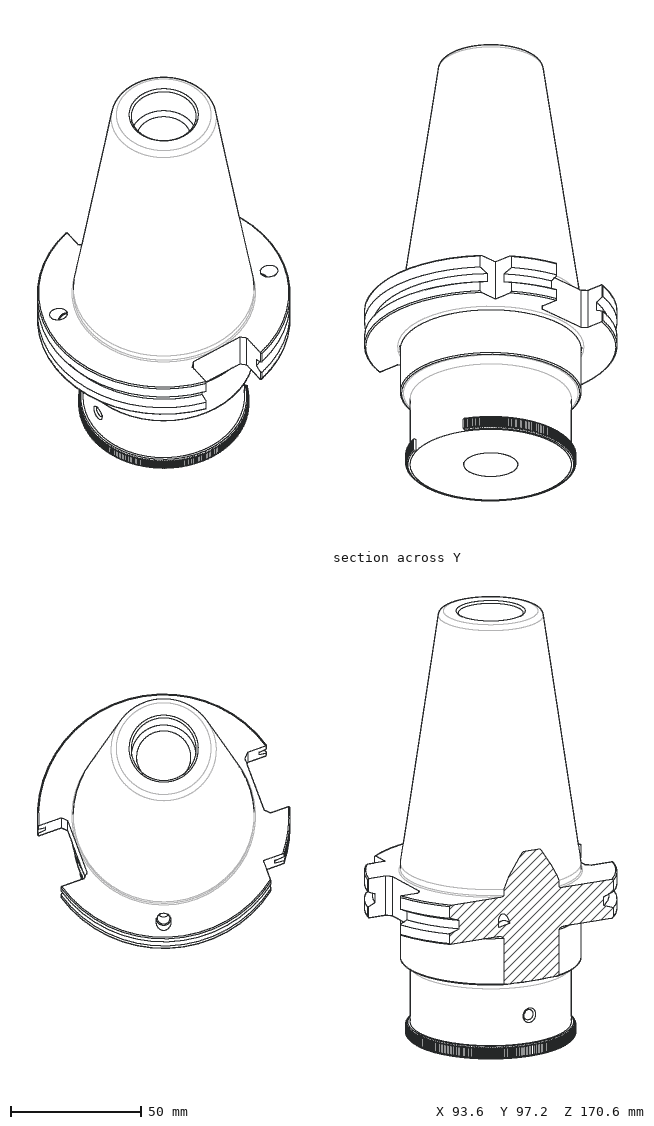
import cadquery as cq
import math

TOTAL_HEIGHT = 170.6

GAUGE_RADIUS = 34.8
GAUGE_Z = 69.1
TAPER_RATIO = 7 / 24
TAPER_TIP_FILLET = 2.0

FLANGE_RADIUS = 48.6
FLANGE_BOTTOM_Z = 50.3
FLANGE_TOP_Z = 66.2
FLANGE_EDGE_CHAMFER = 0.5
FLANGE_TOP_FILLET = 0.5
FLANGE_BOTTOM_FILLET = 1.0
GROOVE_ROOT_RADIUS = 45.5
GROOVE_ROOT_WIDTH = 3.4
GROOVE_MOUTH_WIDTH = 6.3
GROOVE_Z = 57.8

SLOT_WIDTH = 25.6
SLOT_FLOOR_LEFT = 37.2
SLOT_FLOOR_RIGHT = 35.3
SLOT_CORNER_CHAMFER = 1.9
SLOT_MOUTH_CHAMFER = 0.3
NOTCH_X = -30.0
NOTCH_Y = 29.7

BODY_RADIUS = GAUGE_RADIUS
BODY_BOTTOM_Z = 30.5
BODY_EDGE_CHAMFER = 0.5
NOSE_RADIUS = 31.0
NOSE_FILLET = 2.5

BORE_RADIUS = 10.4
TOP_BORE_RADIUS = 12.5
TOP_BORE_DEPTH = 12.0
TOP_BORE_FLOOR_ANGLE = 30.0
TOP_BORE_CHAMFER = 0.9

COOLANT_PITCH_RADIUS = 42.0
COOLANT_ANGLE = 70.0
COOLANT_TILT = 32.0
COOLANT_MOUTH_RADIUS = 2.9
COOLANT_MOUTH_DEPTH = 4.6
COOLANT_RADIUS = 2.4
COOLANT_DEPTH = 13.6

SCREW_Z = 16.2
SCREW_RADIUS = 2.0
SCREW_DEPTH = 6.8
SCREW_MOUTH_RADIUS = 2.9

RING_HEIGHT = 5.1
RING_RADIUS = 32.8
RING_CHAMFER = 0.9
KNURL_COUNT = 300
KNURL_DEPTH = 0.5
RING_GAP_WIDTH = 26.5


def holder_blank():
    """Turned outer shape of the holder, without its bores and cuts."""
    tip_radius = GAUGE_RADIUS - (TOTAL_HEIGHT - GAUGE_Z) * TAPER_RATIO / 2
    root_half = GROOVE_ROOT_WIDTH / 2
    mouth_half = GROOVE_MOUTH_WIDTH / 2
    shoulder_radius = NOSE_RADIUS + NOSE_FILLET
    edge = FLANGE_EDGE_CHAMFER
    bevel = BODY_EDGE_CHAMFER
    low = FLANGE_BOTTOM_FILLET
    high = FLANGE_TOP_FILLET
    arc_middle = 1 - math.sqrt(0.5)
    profile = (
        cq.Workplane("XZ")
        .lineTo(NOSE_RADIUS, 0)
        .lineTo(NOSE_RADIUS, BODY_BOTTOM_Z - NOSE_FILLET)
        .threePointArc(
            (NOSE_RADIUS + NOSE_FILLET * arc_middle, BODY_BOTTOM_Z - NOSE_FILLET * arc_middle),
            (shoulder_radius, BODY_BOTTOM_Z),
        )
        .lineTo(BODY_RADIUS - bevel, BODY_BOTTOM_Z)
        .lineTo(BODY_RADIUS, BODY_BOTTOM_Z + bevel)
        .lineTo(BODY_RADIUS, FLANGE_BOTTOM_Z - low)
        .threePointArc(
            (BODY_RADIUS + low * arc_middle, FLANGE_BOTTOM_Z - low * arc_middle),
            (BODY_RADIUS + low, FLANGE_BOTTOM_Z),
        )
        .lineTo(FLANGE_RADIUS - edge, FLANGE_BOTTOM_Z)
        .lineTo(FLANGE_RADIUS, FLANGE_BOTTOM_Z + edge)
        .lineTo(FLANGE_RADIUS, GROOVE_Z - mouth_half)
        .lineTo(GROOVE_ROOT_RADIUS, GROOVE_Z - root_half)
        .lineTo(GROOVE_ROOT_RADIUS, GROOVE_Z + root_half)
        .lineTo(FLANGE_RADIUS, GROOVE_Z + mouth_half)
        .lineTo(FLANGE_RADIUS, FLANGE_TOP_Z - edge)
        .lineTo(FLANGE_RADIUS - edge, FLANGE_TOP_Z)
        .lineTo(GAUGE_RADIUS + high, FLANGE_TOP_Z)
        .threePointArc(
            (GAUGE_RADIUS + high * arc_middle, FLANGE_TOP_Z + high * arc_middle),
            (GAUGE_RADIUS, FLANGE_TOP_Z + high),
        )
        .lineTo(GAUGE_RADIUS, GAUGE_Z)
        .lineTo(tip_radius, TOTAL_HEIGHT)
        .lineTo(0, TOTAL_HEIGHT)
        .close()
    )
    blank = profile.revolve(360, (0, 0, 0), (0, 1, 0))
    return blank.faces(">Z").edges().fillet(TAPER_TIP_FILLET)


def central_bore():
    """Through bore with a wider, chamfered bore at the taper tip."""
    wall_bottom_z = TOTAL_HEIGHT - TOP_BORE_DEPTH
    floor_drop = (TOP_BORE_RADIUS - BORE_RADIUS) * math.tan(math.radians(TOP_BORE_FLOOR_ANGLE))
    mouth_radius = TOP_BORE_RADIUS + TOP_BORE_CHAMFER
    profile = (
        cq.Workplane("XZ")
        .lineTo(BORE_RADIUS, 0)
        .lineTo(BORE_RADIUS, wall_bottom_z - floor_drop)
        .lineTo(TOP_BORE_RADIUS, wall_bottom_z)
        .lineTo(TOP_BORE_RADIUS, TOTAL_HEIGHT - TOP_BORE_CHAMFER)
        .lineTo(mouth_radius, TOTAL_HEIGHT)
        .lineTo(0, TOTAL_HEIGHT)
        .close()
    )
    return profile.revolve(360, (0, 0, 0), (0, 1, 0))


def through_flange(outline):
    """Prism of a closed XY outline over the full height of the flange."""
    prism = cq.Workplane("XY").polyline(outline).close().extrude(FLANGE_TOP_Z - FLANGE_BOTTOM_Z)
    return prism.translate((0, 0, FLANGE_BOTTOM_Z))


def drive_slot(side, floor):
    """Slot open outward on one X side (+1 or -1), with chamfered inner corners and mouth."""
    half = SLOT_WIDTH / 2
    mouth_half = half + SLOT_MOUTH_CHAMFER
    mouth = math.sqrt(FLANGE_RADIUS**2 - mouth_half**2)
    upper_edge = [
        (side * floor, half - SLOT_CORNER_CHAMFER),
        (side * (floor + SLOT_CORNER_CHAMFER), half),
        (side * (mouth - SLOT_MOUTH_CHAMFER), half),
        (side * mouth, mouth_half),
        (side * FLANGE_RADIUS, mouth_half),
    ]
    lower_edge = [(x, -y) for x, y in reversed(upper_edge)]
    return through_flange(upper_edge + lower_edge)


def orientation_notch():
    """Square corner notch at -X, +Y through the flange."""
    outline = [
        (NOTCH_X, NOTCH_Y),
        (NOTCH_X, FLANGE_RADIUS),
        (-FLANGE_RADIUS, FLANGE_RADIUS),
        (-FLANGE_RADIUS, NOTCH_Y),
    ]
    return through_flange(outline)


def coolant_hole(angle):
    """Stepped blind hole leaning inward from the flange top."""
    direction = math.radians(angle)
    tilt = math.radians(COOLANT_TILT)
    outward = cq.Vector(math.cos(direction), math.sin(direction), 0)
    mouth = outward * COOLANT_PITCH_RADIUS + cq.Vector(0, 0, FLANGE_TOP_Z)
    axis = outward * -math.sin(tilt) + cq.Vector(0, 0, -math.cos(tilt))
    lead = 2 * COOLANT_MOUTH_RADIUS
    start = mouth - axis * lead
    wide = cq.Solid.makeCylinder(COOLANT_MOUTH_RADIUS, COOLANT_MOUTH_DEPTH + lead, start, axis)
    narrow = cq.Solid.makeCylinder(COOLANT_RADIUS, COOLANT_DEPTH, mouth, axis)
    return cq.Workplane(wide).union(cq.Workplane(narrow))


def screw_hole():
    """Blind radial hole on the -Y side of the nose with a conical mouth."""
    chamfer = SCREW_MOUTH_RADIUS - SCREW_RADIUS
    mouth_point = cq.Vector(0, -NOSE_RADIUS, SCREW_Z)
    inward = cq.Vector(0, 1, 0)
    drill = cq.Solid.makeCylinder(SCREW_RADIUS, SCREW_DEPTH, mouth_point, inward)
    cone = cq.Solid.makeCone(SCREW_MOUTH_RADIUS, SCREW_RADIUS, chamfer, mouth_point, inward)
    return cq.Workplane(drill).union(cq.Workplane(cone))


def make_holder():
    """Tool holder: taper, flange, body and nose in one solid."""
    holder = holder_blank().cut(central_bore())
    holder = holder.cut(drive_slot(-1, SLOT_FLOOR_LEFT))
    holder = holder.cut(drive_slot(1, SLOT_FLOOR_RIGHT))
    holder = holder.cut(orientation_notch())
    for angle in (COOLANT_ANGLE, COOLANT_ANGLE + 180):
        holder = holder.cut(coolant_hole(angle))
    return holder.cut(screw_hole())


def make_knurled_ring():
    """Split ring around the end of the nose, with a straight knurl and a gap at +Y."""
    points = []
    for i in range(2 * KNURL_COUNT):
        radius = RING_RADIUS - KNURL_DEPTH * (i % 2)
        angle = math.pi * i / KNURL_COUNT
        points.append((radius * math.cos(angle), radius * math.sin(angle)))
    knurled = cq.Workplane("XY").polyline(points).close().extrude(RING_HEIGHT)
    envelope = cq.Workplane("XY").circle(RING_RADIUS).extrude(RING_HEIGHT).edges().chamfer(RING_CHAMFER)
    nose = cq.Workplane("XY").circle(NOSE_RADIUS).extrude(RING_HEIGHT)
    gap = cq.Workplane("XY").rect(RING_GAP_WIDTH, RING_RADIUS).extrude(RING_HEIGHT)
    gap = gap.translate((0, NOSE_RADIUS, 0))
    return knurled.intersect(envelope).cut(nose).cut(gap)


holder = make_holder()
knurled_ring = make_knurled_ring()

result = cq.Compound.makeCompound([holder.val(), knurled_ring.val()])